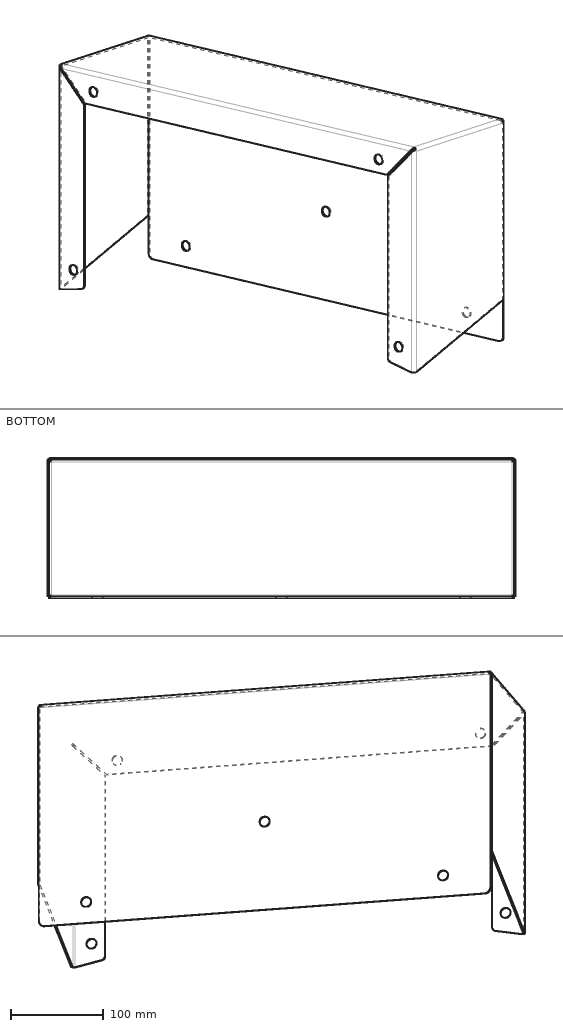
import cadquery as cq
import math

length = 508.0
depth = 152.5
height = 254.0

sheet = 2.0
bend_outer = 4.0
bend_inner = bend_outer - sheet
seam_gap = 0.5
miter_gap = 2.0
miter_angle = 45.0
corner_relief = 2.5

flange = 37.5
flange_rise = 6.5
flange_corner = 5.0

side_rise = 50.5
back_bottom = 1.5
back_corner = 6.0
back_inset = 1.5

hole_diameter = 11.0
top_hole_x = 203.0
top_hole_z = 231.5
side_hole_x = 231.5
low_hole_z = 25.5
back_hole_x = 199.5
centre_hole_z = 101.5

half_length = length / 2
front = -depth / 2
back = depth / 2
back_inner = back - sheet
overcut = 0.5


def block(x_range, y_range, z_range):
    """Box spanning the given ranges."""
    (x0, x1), (y0, y1), (z0, z1) = x_range, y_range, z_range
    return cq.Workplane("XY").box(x1 - x0, y1 - y0, z1 - z0, centered=False).translate((x0, y0, z0))


def front_sketch(y):
    """Workplane at the given Y, with X right, Z up and extrusion towards -Y."""
    return cq.Workplane(cq.Plane(origin=(0, y, 0), xDir=(1, 0, 0), normal=(0, -1, 0)))


def rounded_box(inset, radius, bottom):
    """Box with rounded folds along the roof and front edges; its back uprights stay sharp."""
    x, y = half_length - inset, depth / 2 - inset
    body = block((-x, x), (-y, y), (bottom, height - inset))
    return body.edges(">Z or (|Z and <Y)").fillet(radius)


def folded_shell():
    """Closed-sided hood, open underneath."""
    return rounded_box(0, bend_outer, 0).cut(rounded_box(sheet, bend_inner, -height))


def front_opening():
    """Opening between the flanges, including their sloping lower edges."""
    x_in = half_length - flange
    x_bend = half_length - bend_outer
    points = [
        (-x_bend, -overcut), (-x_bend, 0), (-x_in, flange_rise), (-x_in, height - flange),
        (x_in, height - flange), (x_in, flange_rise), (x_bend, 0), (x_bend, -overcut),
    ]
    cutter = front_sketch(front + bend_outer).polyline(points).close().extrude(2 * bend_outer)
    low_corners = cq.selectors.BoxSelector(
        (-x_in - overcut, front - depth, flange_rise - overcut), (x_in + overcut, back, flange_rise + overcut)
    )
    return cutter.edges("|Y").edges(low_corners).fillet(flange_corner)


def side_slope():
    """Wedge that raises the side walls' lower edge from front to back."""
    points = [(front + bend_outer, 0), (back_inner, side_rise), (back_inner, 0)]
    return cq.Workplane("YZ").polyline(points).close().extrude(half_length, both=True)


def back_trim():
    """Material outside the back plate's uprights and rounded lower corners."""
    y_range = (back_inner, back)
    strip = block((-half_length, half_length), y_range, (0, height))
    plate_half = half_length - back_inset
    plate = block((-plate_half, plate_half), y_range, (back_bottom, height))
    return strip.cut(plate.edges("|Y and <Z").fillet(back_corner))


def corner_cuts(side):
    """Back seam, mitre slot and corner notches on one side (-1 or 1)."""
    x_inner = side * (half_length - bend_outer)
    x_range = sorted((x_inner, side * half_length))
    seam = block(x_range, (back_inner - seam_gap, back_inner), (0, height))
    slot_length = math.sqrt(2) * flange + miter_gap
    slot = (
        front_sketch(front + bend_outer)
        .center(side * (half_length - flange / 2), height - flange / 2)
        .transformed(rotate=(0, 0, side * miter_angle))
        .rect(slot_length, miter_gap)
        .extrude(bend_outer)
    )
    cuts = seam.union(slot)
    notch_x = sorted((side * (half_length - corner_relief), side * half_length))
    for y_range in ((front, front + corner_relief), (back - corner_relief, back)):
        cuts = cuts.union(block(notch_x, y_range, (height - corner_relief, height)))
    return cuts


def holes(y, places):
    """Hole cutters through the panel whose outer face lies at the given Y."""
    return front_sketch(y).pushPoints(places).circle(hole_diameter / 2).extrude(bend_outer, both=True)


flange_holes = [(s * top_hole_x, top_hole_z) for s in (-1, 1)]
flange_holes += [(s * side_hole_x, low_hole_z) for s in (-1, 1)]
back_holes = [(-back_hole_x, low_hole_z), (back_hole_x, low_hole_z), (0, centre_hole_z)]

result = folded_shell().cut(front_opening()).cut(side_slope()).cut(back_trim())
for side in (-1, 1):
    result = result.cut(corner_cuts(side))
result = result.cut(holes(front, flange_holes)).cut(holes(back, back_holes))